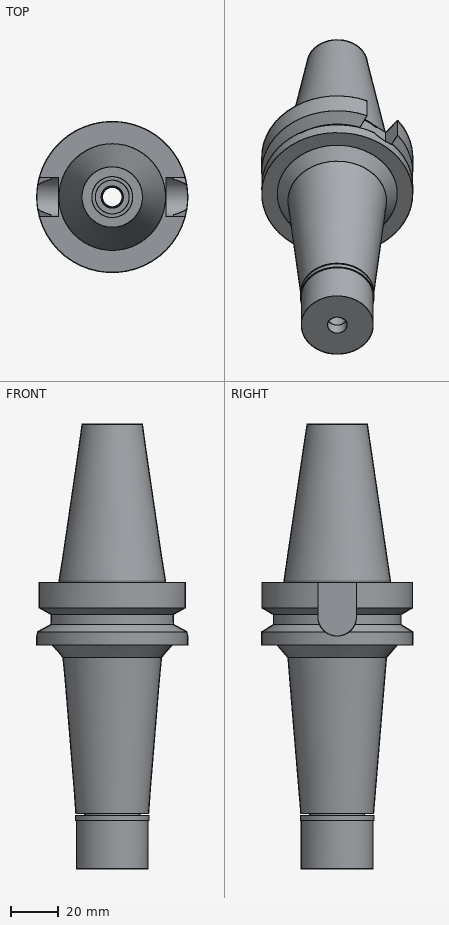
import cadquery as cq

total_height = 185.4
gauge_z = 120.0
flange_top_z = 119.4
upper_land_bottom_z = 108.8
groove_top_z = 106.0
groove_bottom_z = 101.8
lower_land_top_z = 98.8
flange_bottom_z = 93.3
nose_top_z = 88.0
nose_bottom_z = 23.0

taper_small_radius = 12.6
taper_large_radius = 22.2
flange_radius = 31.5
groove_radius = 26.7
flange_cone_radius = 25.0
nose_top_radius = 20.5
nose_bottom_radius = 15.2

slot_half_width = 8.06
slot_floor_x = 22.5
slot_arc_z = 105.1

counterbore_radius = 8.5
counterbore_depth = 8.9
bore_radius = 7.0
bore_bottom_z = 93.3
through_radius = 4.6

nut_radius = 15.0
rim_radius = 15.4
rim_bottom_z = 20.0
nut_gap = 0.7
nut_height = nose_bottom_z - nut_gap
nut_hole_radius = 4.0
nut_wall = 5.5
spigot_radius = 11.5


def revolve_profile(points):
    """Revolve a closed (radius, z) outline about the Z axis."""
    return cq.Workplane("YZ").polyline(points).close().revolve(360, (0, 0, 0), (0, 1, 0))


def bore_cut(radius, bottom_z, top_z):
    """Cylinder on the Z axis between two heights."""
    return cq.Workplane("XY").workplane(offset=bottom_z).circle(radius).extrude(top_z - bottom_z)


def drive_slot(side):
    """Round-bottomed slot cutter, open at the flange top; side is -1 or +1 along X."""
    return (
        cq.Workplane("YZ", origin=(side * slot_floor_x, 0, 0))
        .moveTo(-slot_half_width, gauge_z)
        .lineTo(-slot_half_width, slot_arc_z)
        .threePointArc((0, slot_arc_z - slot_half_width), (slot_half_width, slot_arc_z))
        .lineTo(slot_half_width, gauge_z)
        .close()
        .extrude(side * flange_radius)
    )


def make_holder():
    """Tool holder: spindle taper, grooved flange, tapered nose and spigot."""
    holder = revolve_profile([
        (0, total_height),
        (taper_small_radius, total_height),
        (taper_large_radius, gauge_z),
        (taper_large_radius, flange_top_z),
        (flange_radius, flange_top_z),
        (flange_radius, upper_land_bottom_z),
        (groove_radius, groove_top_z),
        (groove_radius, groove_bottom_z),
        (flange_radius, lower_land_top_z),
        (flange_radius, flange_bottom_z),
        (flange_cone_radius, flange_bottom_z),
        (nose_top_radius, nose_top_z),
        (nose_bottom_radius, nose_bottom_z),
        (spigot_radius, nose_bottom_z),
        (spigot_radius, nut_wall),
        (0, nut_wall),
    ])
    for side in (-1, 1):
        holder = holder.cut(drive_slot(side))
    holder = holder.cut(bore_cut(counterbore_radius, total_height - counterbore_depth, total_height))
    holder = holder.cut(bore_cut(bore_radius, bore_bottom_z, total_height))
    return holder.cut(bore_cut(through_radius, nut_wall, total_height))


def make_nut():
    """Clamping nut: plain sleeve with a raised rim, recessed for the spigot."""
    return revolve_profile([
        (nut_hole_radius, 0),
        (nut_radius, 0),
        (nut_radius, rim_bottom_z),
        (rim_radius, rim_bottom_z),
        (rim_radius, nut_height),
        (spigot_radius, nut_height),
        (spigot_radius, nut_wall),
        (nut_hole_radius, nut_wall),
    ])


holder = make_holder()
nut = make_nut()
result = cq.Compound.makeCompound([holder.val(), nut.val()])